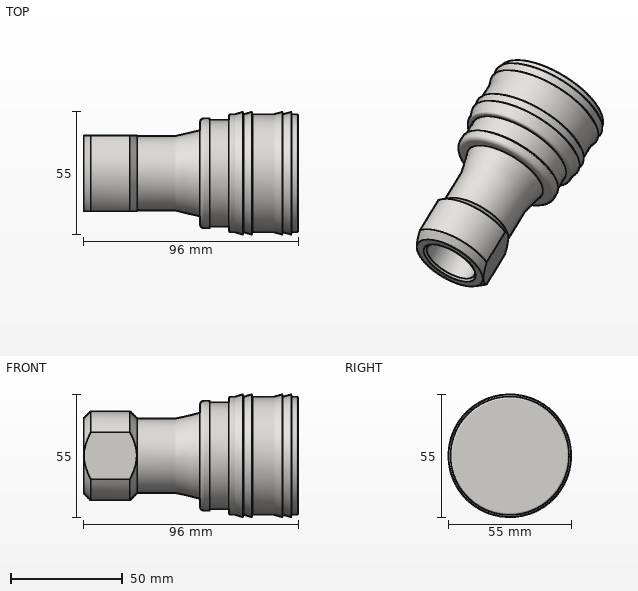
import cadquery as cq
import math

total_length = 96.0

head_diameter = 40.0
head_length = 24.0
flat_width = 34.0
neck_diameter = 33.5
head_chamfer = (head_diameter - neck_diameter) / 2

flare_start = 41.2
flare_end_diameter = 38.6

collar_start = 52.0
collar_end = 56.4
collar_diameter = 49.3
collar_fillet = 2.0
body_diameter = 48.0

sleeve_start = 65.0
sleeve_diameter = 53.0
sleeve_fillet = 1.0
ridge_diameter = 55.0
first_ridge_start = 67.8
ridge_pair_spacing = 17.6
ridge_pitch = 4.0
ridge_ramp = 3.4
ridge_back = 0.4
ridges_per_pair = 2

countersink_diameter = 26.5
bore_diameter = 24.5
bore_depth = 18.0
port_bottom_diameter = 24.0
port_depth = 20.0
countersink_depth = (countersink_diameter - bore_diameter) / 2


def quarter_round(profile, start, end, center):
    """Run a line to the start of an edge fillet, then follow its quarter arc."""
    radius = math.dist(start, center)
    toward = [(start[i] + end[i]) / 2 - center[i] for i in range(2)]
    length = math.hypot(*toward)
    middle = tuple(center[i] + toward[i] * radius / length for i in range(2))
    return profile.lineTo(*start).threePointArc(middle, end)


def revolve_about_x(profile):
    return profile.close().revolve(360, (0, 0, 0), (1, 0, 0))


def make_body():
    """Revolved outer shape, from the head to the end of the sleeve."""
    head_radius = head_diameter / 2
    neck_radius = neck_diameter / 2
    collar_radius = collar_diameter / 2
    body_radius = body_diameter / 2
    sleeve_radius = sleeve_diameter / 2

    profile = (
        cq.Workplane("XY")
        .lineTo(0, neck_radius)
        .lineTo(head_chamfer, head_radius)
        .lineTo(head_length - head_chamfer, head_radius)
        .lineTo(head_length, neck_radius)
        .lineTo(flare_start, neck_radius)
        .lineTo(collar_start, flare_end_diameter / 2)
    )
    profile = quarter_round(
        profile,
        (collar_start, collar_radius - collar_fillet),
        (collar_start + collar_fillet, collar_radius),
        (collar_start + collar_fillet, collar_radius - collar_fillet),
    )
    profile = (
        profile.lineTo(collar_end, collar_radius)
        .lineTo(collar_end, body_radius)
        .lineTo(sleeve_start, body_radius)
    )
    fillet_base = sleeve_radius - sleeve_fillet
    front_fillet_end = sleeve_start + sleeve_fillet
    rear_fillet_start = total_length - sleeve_fillet
    profile = quarter_round(
        profile,
        (sleeve_start, fillet_base),
        (front_fillet_end, sleeve_radius),
        (front_fillet_end, fillet_base),
    )
    profile = quarter_round(
        profile,
        (rear_fillet_start, sleeve_radius),
        (total_length, fillet_base),
        (rear_fillet_start, fillet_base),
    )
    return revolve_about_x(profile.lineTo(total_length, 0))


def make_ridge(start):
    """Sawtooth ring: a long ramp up to the crest, then a short steep back."""
    root_radius = sleeve_diameter / 2
    buried_radius = root_radius - sleeve_fillet
    crest = start + ridge_ramp
    end = crest + ridge_back
    profile = (
        cq.Workplane("XY")
        .moveTo(start, buried_radius)
        .lineTo(start, root_radius)
        .lineTo(crest, ridge_diameter / 2)
        .lineTo(end, root_radius)
        .lineTo(end, buried_radius)
    )
    return revolve_about_x(profile)


def cut_flats(part):
    """Mill the two wrench flats, facing -Y and +Y."""
    flat_depth = (head_diameter - flat_width) / 2
    offset = (flat_width + flat_depth) / 2
    for side in (-1, 1):
        cutter = cq.Workplane("XY").box(head_length, flat_depth, head_diameter)
        part = part.cut(cutter.translate((head_length / 2, side * offset, 0)))
    return part


def make_port():
    """Revolved cutter for the blind port in the wrench end."""
    bore_radius = bore_diameter / 2
    bottom_radius = port_bottom_diameter / 2
    profile = (
        cq.Workplane("XY")
        .lineTo(0, countersink_diameter / 2)
        .lineTo(countersink_depth, bore_radius)
        .lineTo(bore_depth, bore_radius)
        .lineTo(bore_depth, bottom_radius)
        .lineTo(port_depth, bottom_radius)
        .lineTo(port_depth, 0)
    )
    return revolve_about_x(profile)


result = make_body()
for pair_start in (first_ridge_start, first_ridge_start + ridge_pair_spacing):
    for index in range(ridges_per_pair):
        result = result.union(make_ridge(pair_start + index * ridge_pitch))
result = cut_flats(result)
result = result.cut(make_port())